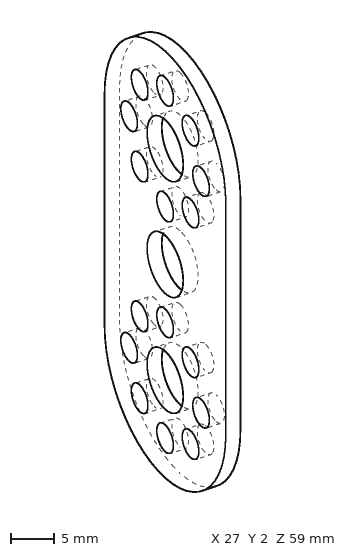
import cadquery as cq

plate_width = 27.0
plate_height = 59.0
plate_thickness = 2.0
center_hole_diameter = 8.0
small_hole_diameter = 3.7
bolt_circle_radius = 8.0
bolt_hole_count = 8

pattern_offset = (plate_height - plate_width) / 2
pattern_centers = [(0, pattern_offset), (0, -pattern_offset)]


def back_plane():
    """XZ sketch plane on the +Y face of the plate; extrusions run toward -Y."""
    return cq.Workplane("XZ", origin=(0, plate_thickness / 2, 0))


def make_plate():
    """Flat plate with fully rounded upper and lower ends."""
    return (
        back_plane()
        .slot2D(plate_height, plate_width, angle=90)
        .extrude(plate_thickness)
    )


def make_large_holes():
    """Cutters for the hole in the plate middle and at each pattern centre."""
    return (
        back_plane()
        .pushPoints([(0, 0)] + pattern_centers)
        .circle(center_hole_diameter / 2)
        .extrude(plate_thickness)
    )


def make_bolt_circle(center):
    """Cutters for one ring of small holes around a pattern centre."""
    return (
        back_plane()
        .center(*center)
        .polarArray(bolt_circle_radius, 0, 360, bolt_hole_count)
        .circle(small_hole_diameter / 2)
        .extrude(plate_thickness)
    )


result = make_plate().cut(make_large_holes())
for pattern_center in pattern_centers:
    result = result.cut(make_bolt_circle(pattern_center))